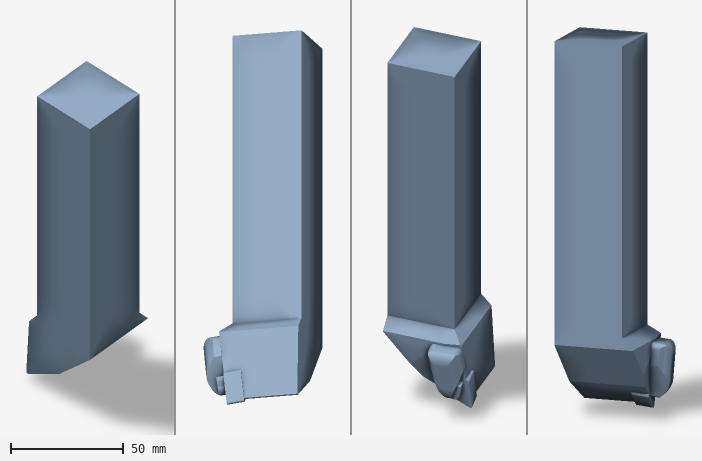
import cadquery as cq
import math

shank_size = 32.0
shank_right = 40.0
shank_left = shank_right - shank_size
shank_top = 170.0

side_step = 4.95
back_step = 5.4
bevel_top = 37.9
bevel_bottom = bevel_top - side_step
head_left = shank_left - side_step
head_back = shank_size + back_step
side_lean = 3.0
end_slope = 31.0
corner_z = 0.6
corner_blunt = 0.8
knee_x = 21.1
relief_z = 32.6

inscribed_circle = 12.7
insert_angle = 55.0
insert_edge = inscribed_circle / math.sin(math.radians(insert_angle))
insert_thickness = 7.94
insert_lead = 4.0
nose_radius = 0.8
tip_x = -0.46
tip_y = 31.95
tip_z = -2.02
tilt_x = 6.0
tilt_z = 7.0

clamp_left = 2.5
clamp_right = 17.3
clamp_back = 34.1
clamp_end = 8.3
clamp_end_x = 8.8
clamp_end_width = 0.8
flank_end = 23.8
flank_lean = 9.0
clamp_corner_radius = 4.91 / 2

clamp_height = 8.53
back_height = 5.0
end_height = 4.4
flank_height = 3.3
shoulder_height = 5.6
shoulder_width = 1.2

crown_back = 28.5
crown_front = 16.5
crown_left = 7.6
crown_right = 13.6
crown_bow = 0.6
back_round_y = clamp_back - 1.5
back_round_height = 7.2
front_round_y = 10.5
front_round_height = 6.6

foot_left = 4.0
foot_depth = 2.0

nose_left = 3.8
nose_middle = 7.4
nose_half_width = 2.8
nose_back = 15.0
nose_turn = 13.2
nose_arc_start = 10.6
nose_end = 7.4
nose_height = 3.8

rise_x = math.tan(math.radians(tilt_x))
rise_z = math.tan(math.radians(tilt_z))
insert_frame = cq.Plane(
    origin=(tip_x, tip_y, tip_z),
    xDir=(1, rise_x, 0),
    normal=(rise_x, -1, rise_z),
)


def polar(length, degrees):
    angle = math.radians(degrees)
    return length * math.cos(angle), length * math.sin(angle)


def make_insert():
    side = polar(insert_edge, 90 - insert_lead)
    front = polar(insert_edge, 90 - insert_lead - insert_angle)
    far = (side[0] + front[0], side[1] + front[1])
    return (
        cq.Workplane(insert_frame)
        .polyline([(0, 0), front, far, side])
        .close()
        .extrude(insert_thickness)
        .edges(cq.selectors.ParallelDirSelector(insert_frame.zDir))
        .fillet(nose_radius)
    )


def make_bar():
    """Shank and head: front outline crossed with side outline, trimmed level with the insert face."""
    end_rise = math.tan(math.radians(end_slope))
    corner_x = head_left - (bevel_bottom - corner_z) * math.tan(math.radians(side_lean))
    front_outline = [
        (shank_left, shank_top),
        (shank_left, bevel_top),
        (head_left, bevel_bottom),
        (corner_x, corner_z + corner_blunt),
        (corner_x + corner_blunt, corner_z + corner_blunt * end_rise),
        (knee_x, corner_z + (knee_x - corner_x) * end_rise),
        (shank_right, relief_z),
        (shank_right, shank_top),
    ]
    side_outline = [
        (0, 0),
        (head_back, 0),
        (head_back, bevel_bottom),
        (shank_size, bevel_top),
        (shank_size, shank_top),
        (0, shank_top),
    ]
    front_shape = cq.Workplane("XZ").polyline(front_outline).close().extrude(-head_back)
    side_shape = cq.Workplane("YZ").polyline(side_outline).close().extrude(shank_right)
    above_insert_face = (
        cq.Workplane(insert_frame).rect(4 * shank_size, 4 * shank_size).extrude(-shank_size)
    )
    return front_shape.intersect(side_shape).cut(above_insert_face)



def clamp_plan():
    back_shift = (clamp_back - flank_end) * math.tan(math.radians(flank_lean))
    return (
        cq.Workplane("XY")
        .workplane(offset=foot_depth)
        .polyline([
            (clamp_left + back_shift, clamp_back),
            (clamp_left, flank_end),
            (clamp_end_x, clamp_end),
            (clamp_end_x + clamp_end_width, clamp_end),
            (clamp_right, flank_end),
            (clamp_right + back_shift, clamp_back),
        ])
        .close()
        .extrude(-2 * clamp_height)
        .edges("|Z and >Y")
        .fillet(clamp_corner_radius)
    )


def clamp_side_profile():
    return (
        cq.Workplane("YZ")
        .moveTo(clamp_back, foot_depth)
        .lineTo(clamp_back, -back_height)
        .threePointArc((back_round_y, -back_round_height), (crown_back, -clamp_height))
        .lineTo(crown_front, -clamp_height)
        .threePointArc((front_round_y, -front_round_height), (clamp_end, -end_height))
        .lineTo(clamp_end, foot_depth)
        .close()
        .extrude(2 * clamp_right)
    )


def clamp_cross_section():
    """Chamfered flanks and a flat crown with rounded sides, running along the leaning flanks."""
    shoulder_left = clamp_left + shoulder_width
    shoulder_right = clamp_right - shoulder_width
    round_left_x = (shoulder_left + crown_left - crown_bow) / 2
    round_right_x = (shoulder_right + crown_right + crown_bow) / 2
    round_height = (shoulder_height + clamp_height) / 2 + crown_bow
    return (
        cq.Workplane("XZ")
        .moveTo(clamp_left, foot_depth)
        .lineTo(clamp_left, -flank_height)
        .lineTo(shoulder_left, -shoulder_height)
        .threePointArc((round_left_x, -round_height), (crown_left, -clamp_height))
        .lineTo(crown_right, -clamp_height)
        .threePointArc((round_right_x, -round_height), (shoulder_right, -shoulder_height))
        .lineTo(clamp_right, -flank_height)
        .lineTo(clamp_right, foot_depth)
        .close()
        .extrude(-2 * clamp_back)
        .rotate((clamp_left, flank_end, 0), (clamp_left, flank_end, 1), -flank_lean)
    )


def clamp_nose():
    arc_left = nose_middle - nose_half_width
    arc_right = nose_middle + nose_half_width
    return (
        cq.Workplane("XY")
        .moveTo(nose_left, nose_back)
        .lineTo(nose_left, nose_turn)
        .lineTo(arc_left, nose_arc_start)
        .threePointArc((nose_middle, nose_end), (arc_right, nose_arc_start))
        .lineTo(arc_right, nose_back)
        .close()
        .extrude(-nose_height)
    )


def make_clamp():
    overhang = cq.Workplane("XY").box(foot_left, clamp_back, foot_depth, centered=False)
    clamp = (
        clamp_plan()
        .intersect(clamp_side_profile())
        .intersect(clamp_cross_section())
        .cut(overhang)
        .union(clamp_nose())
    )
    return cq.Workplane(clamp.val().moved(cq.Location(insert_frame)))


insert = make_insert()
holder = make_bar().union(make_clamp()).cut(insert)

result = cq.Compound.makeCompound([holder.solids().val(), insert.solids().val()])